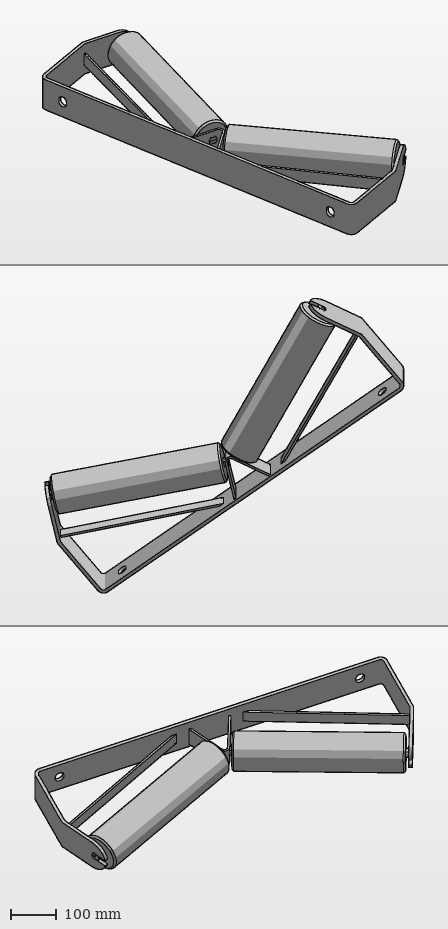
import cadquery as cq
import math

SIDES = (-1, 1)

trough_angle = 25.0
roller_dip = 1.0

frame_length = 840.0
frame_height = 81.5
frame_thickness = 8.0
bend_radius = 16.0
bend_y = 162.0
leg_length = 128.0
mount_slot_x = 359.0
mount_slot_width = 20.0
mount_slot_height = 26.0

roller_diameter = 89.0
roller_length = 380.5
roller_chamfer = 4.0
outer_gap = 7.0
inner_gap = 5.0
shaft_diameter = 20.0
shaft_flat_height = 17.0
shaft_height_on_leg = 98.0

bracket_thickness = 5.0
bracket_height = 50.0
bracket_radius = 13.0

brace_thickness = 5.0
brace_height = 30.0
brace_rise = 1.0

half_length = frame_length / 2
angle = math.radians(trough_angle)
dip = math.radians(roller_dip)
sin_a = math.sin(angle)
cos_a = math.cos(angle)
shaft_x = half_length - shaft_height_on_leg * sin_a
shaft_y = bend_y + shaft_height_on_leg * cos_a
leg_to_bracket = outer_gap + roller_length + inner_gap
bracket_mid_z = -(frame_thickness + leg_to_bracket) * math.tan(dip)
shaft_length = (frame_thickness + leg_to_bracket + bracket_thickness) / math.cos(dip)


def extrude_plan(outline, height):
    """Extrude a plan sketch to the given height, centered on Z = 0."""
    return outline.extrude(height / 2, both=True)


def along_axis(distance):
    """Plan point on the right roller's axis, measured inward from the leg's outer face."""
    return (shaft_x - distance * cos_a, shaft_y - distance * sin_a)


def mirrored(body, side):
    """The right-hand body itself, or its left-hand mirror image."""
    return body if side > 0 else body.mirror("YZ")


def axis_workplane():
    """Workplane on the leg's outer face, its normal along the right roller's dipping axis."""
    normal = (-cos_a * math.cos(dip), -sin_a * math.cos(dip), -math.sin(dip))
    return cq.Workplane(cq.Plane((shaft_x, shaft_y, 0), (-sin_a, cos_a, 0), normal))


def make_shaft():
    """Shaft with flats above and below, reaching through both the leg and the bracket."""
    rod = axis_workplane().circle(shaft_diameter / 2).extrude(shaft_length)
    flats = axis_workplane().rect(shaft_diameter, shaft_flat_height).extrude(shaft_length)
    return rod.intersect(flats)


def make_roller():
    barrel = (
        axis_workplane()
        .workplane(offset=frame_thickness + outer_gap)
        .circle(roller_diameter / 2)
        .extrude(roller_length)
        .edges()
        .chamfer(roller_chamfer)
    )
    return barrel.union(make_shaft())


def make_strip():
    """The bent strip: base, two sides and two inclined legs, of one thickness."""
    tip_x = half_length - leg_length * sin_a
    tip_y = bend_y + leg_length * cos_a
    inner_x = half_length - frame_thickness
    inner_bend_y = bend_y - frame_thickness * math.tan(angle / 2)
    inner_tip_x = tip_x - frame_thickness * cos_a
    inner_tip_y = tip_y - frame_thickness * sin_a
    outer = [(half_length, 0), (half_length, bend_y), (tip_x, tip_y)]
    inner = [(inner_tip_x, inner_tip_y), (inner_x, inner_bend_y), (inner_x, frame_thickness)]
    right_half = outer + inner
    left_half = [(-x, y) for x, y in reversed(right_half)]
    strip = extrude_plan(cq.Workplane("XY").polyline(right_half + left_half).close(), frame_height)
    for x, y, radius in (
        (half_length, 0, bend_radius),
        (half_length, bend_y, bend_radius),
        (inner_x, frame_thickness, bend_radius - frame_thickness),
        (inner_x, inner_bend_y, bend_radius - frame_thickness),
    ):
        for side in SIDES:
            corner = cq.selectors.NearestToPointSelector((side * x, y, 0))
            strip = strip.edges("|Z").edges(corner).fillet(radius)
    return strip


def leg_workplane():
    """Workplane on the right leg's outer face: local X runs up the leg from the bend, local Y along Z."""
    return cq.Workplane(
        cq.Plane((half_length, bend_y, 0), (-sin_a, cos_a, 0), (cos_a, sin_a, 0))
    )


def make_leg_end_waste():
    """Material outside the leg's full-round end."""
    radius = frame_height / 2
    center = leg_length - radius
    block = leg_workplane().center(center + radius, 0).rect(2 * radius, 2 * frame_height)
    round_end = leg_workplane().center(center, 0).circle(radius)
    depth = 2 * frame_thickness
    return block.extrude(depth, both=True).cut(round_end.extrude(depth, both=True))


def make_shaft_slot():
    """Slot open at the leg's tip, where the shaft drops in."""
    return (
        leg_workplane()
        .center(shaft_height_on_leg + leg_length / 2, 0)
        .rect(leg_length, shaft_flat_height)
        .extrude(2 * frame_thickness, both=True)
    )


def make_frame():
    frame = make_strip()
    cutters = (make_leg_end_waste(), make_shaft_slot(), make_shaft())
    for side in SIDES:
        for cutter in cutters:
            frame = frame.cut(mirrored(cutter, side))
    mount_slots = (
        cq.Workplane("XZ")
        .pushPoints([(side * mount_slot_x, 0) for side in SIDES])
        .slot2D(mount_slot_height, mount_slot_width, 90)
        .extrude(-frame_thickness)
    )
    return frame.cut(mount_slots)


def make_bracket():
    """Inverted V with a rounded top, its legs square to the roller axes."""
    face_x, face_y = along_axis(frame_thickness + leg_to_bracket)
    half_base = face_x + (face_y - frame_thickness) * math.tan(angle)
    apex_y = frame_thickness + half_base / math.tan(angle)
    arc_y = apex_y - bracket_radius / sin_a

    def wedge(radius):
        base = half_base - (bracket_radius - radius) / cos_a
        tangent = (radius * cos_a, arc_y + radius * sin_a)
        outline = (
            cq.Workplane("XY")
            .moveTo(-base, frame_thickness)
            .lineTo(base, frame_thickness)
            .lineTo(*tangent)
            .threePointArc((0, arc_y + radius), (-tangent[0], tangent[1]))
            .close()
        )
        return extrude_plan(outline, bracket_height)

    bracket = wedge(bracket_radius).cut(wedge(bracket_radius - bracket_thickness))
    bracket = bracket.translate((0, 0, bracket_mid_z))
    for side in SIDES:
        bracket = bracket.cut(mirrored(make_shaft(), side))
    return bracket


def make_brace(frame):
    """Flat bar parallel to the roller, from the frame's bend to its base, trimmed to the frame."""
    side_x = half_length - frame_thickness
    top_y = bend_y + brace_rise
    side_step = brace_thickness / cos_a
    base_step = brace_thickness / sin_a
    base_x = side_x - (top_y - frame_thickness) / math.tan(angle)
    outline = (
        cq.Workplane("XY")
        .moveTo(side_x, top_y)
        .lineTo(base_x, frame_thickness)
        .lineTo(base_x + base_step, frame_thickness)
        .lineTo(side_x, top_y - side_step)
        .close()
    )
    return extrude_plan(outline, brace_height).cut(frame)


frame = make_frame()
bracket = make_bracket()
rollers = [mirrored(make_roller(), side) for side in SIDES]
braces = [mirrored(make_brace(frame), side) for side in SIDES]

result = cq.Compound.makeCompound(
    [frame.val(), bracket.val()] + [body.val() for body in rollers + braces]
)